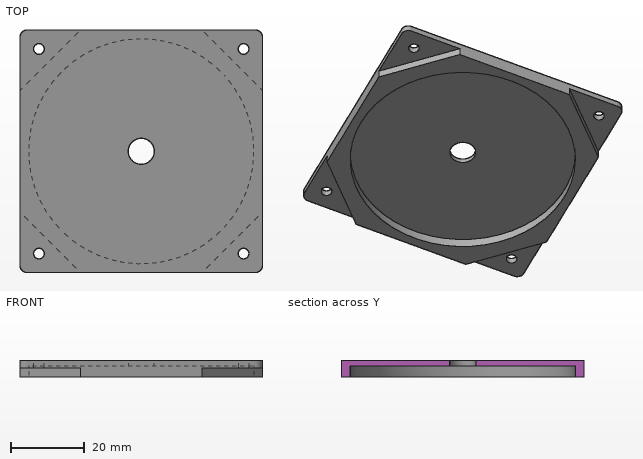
import cadquery as cq

side = 65.8
total_height = 4.5
plate_thickness = 2.0
corner_radius = 2.0

rim_height = total_height - plate_thickness
rim_flat_length = 32.85
rim_corner_cut = (side - rim_flat_length) / 2

recess_diameter = 61.0
web_thickness = 1.5
recess_depth = total_height - web_thickness

center_hole_diameter = 7.0
screw_hole_diameter = 2.85
screw_hole_spacing = 55.45


def make_plate():
    """Square plate with rounded corners, on top of the rim."""
    plate = cq.Workplane("XY").workplane(offset=rim_height).rect(side, side).extrude(plate_thickness)
    return plate.edges("|Z").fillet(corner_radius)


def make_rim():
    """Octagonal block under the plate, with its corners cut at 45 degrees."""
    block = cq.Workplane("XY").rect(side, side).extrude(rim_height)
    return block.edges("|Z").chamfer(rim_corner_cut)


def make_recess():
    """Round pocket opening downwards."""
    return cq.Workplane("XY").circle(recess_diameter / 2).extrude(recess_depth)


def make_holes():
    """Central hole and four screw holes near the corners, all the way through."""
    center_hole = cq.Workplane("XY").circle(center_hole_diameter / 2).extrude(total_height)
    screw_holes = (
        cq.Workplane("XY")
        .rect(screw_hole_spacing, screw_hole_spacing, forConstruction=True)
        .vertices()
        .circle(screw_hole_diameter / 2)
        .extrude(total_height)
    )
    return center_hole.union(screw_holes)


result = make_plate().union(make_rim()).cut(make_recess()).cut(make_holes())